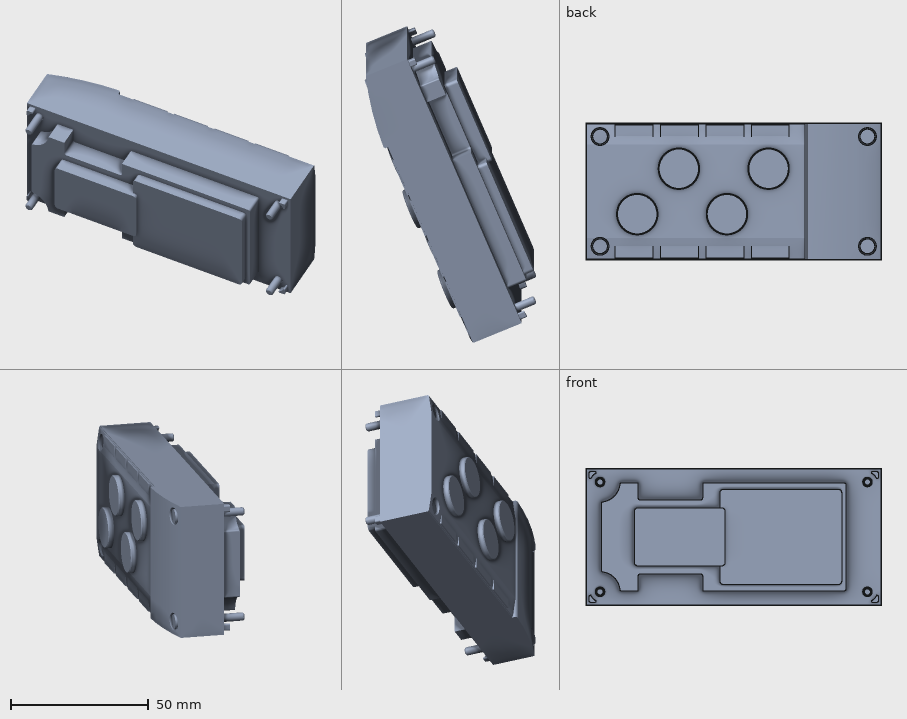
import cadquery as cq

LENGTH = 107.3
HEIGHT = 49.7
RIM_Y = 18.9
RAMP_START_Y = 16.3
RAMP_MIDDLE_X = -42.9
RAMP_MIDDLE_Y = 18.9
RAMP_PEAK_X = -26.6
RAMP_PEAK_Y = 20.7
PANEL_START_X = -26.0

PANEL_INSET = 0.3
PANEL_EDGE_Y = 19.2
PANEL_TOP_Y = 20.3
PANEL_FLAT_HALF_HEIGHT = 17.0

PORT_DIAMETER = 15.0
PORT_TOP_Y = 22.4
PORT_CHAMFER = 0.3
PORT_ROW_Z = 8.3
PORT_CENTERS = [(-12.7, 1), (2.5, -1), (20.0, 1), (35.1, -1)]

PAD_WIDTH = 13.7
PAD_DEPTH = 6.4
PAD_TOP_Y = 19.9
PAD_FIRST_X = -13.3
PAD_PITCH = 16.5
PAD_COUNT = 4
PAD_INSET = 0.6

BASE_DEPTH = 7.3
BASE_LEFT = -48.1
BASE_RIGHT = 40.9
BASE_HALF_HEIGHT = 19.6
BASE_CORNER_RADIUS = 0.9
NOTCH_LEFT = -34.8
NOTCH_RIGHT = -11.3
NOTCH_HALF_GAP = 13.4
SCREW_CLEARANCE_RADIUS = 7.3
CLEARANCE_EDGE_RADIUS = 0.5

LARGE_COVER_DEPTH = 10.8
LARGE_COVER_LEFT = -5.0
LARGE_COVER_RIGHT = 39.3
LARGE_COVER_HEIGHT = 34.7
LARGE_COVER_RADIUS = 1.3
SMALL_COVER_DEPTH = 12.2
SMALL_COVER_LEFT = -36.2
SMALL_COVER_RIGHT = -3.1
SMALL_COVER_HEIGHT = 21.0
SMALL_COVER_RADIUS = 1.3

SCREW_X = 48.6
SCREW_Z = 20.0
SHANK_DIAMETER = 3.0
SHANK_HOLE_DIAMETER = 3.4
TIP_DIAMETER = 2.3
TIP_LENGTH = 0.4
HEAD_DIAMETER = 5.4
HEAD_HEIGHT = 3.4
SHANK_LENGTH = 23.0
COUNTERBORE_DIAMETER = 6.4
NOSE_SCREW_TIP_Y = -8.7
END_SCREW_TIP_Y = -7.4

LUG_HEIGHT = 2.5
LUG_SIZE = 2.6
LUG_CORNER_RADIUS = 0.5
LUG_EDGE_GAP = 1.1
LUG_RELIEF_RADIUS = 3.5


def cylinder_y(x, z, y_start, y_end, diameter):
    """Cylinder along Y between two Y levels."""
    axis_start = cq.Vector(x, y_start, z)
    return cq.Workplane(cq.Solid.makeCylinder(diameter / 2, y_end - y_start, axis_start, cq.Vector(0, 1, 0)))


def block(x_min, x_max, y_min, y_max, z_min, z_max):
    """Axis-aligned block between two corners."""
    size = (x_max - x_min, y_max - y_min, z_max - z_min)
    return cq.Workplane().box(*size, centered=False).translate((x_min, y_min, z_min))


def make_shell():
    """Block with the curved nose rising to a peak in front of the panel."""
    half_length = LENGTH / 2
    return (
        cq.Workplane("XY")
        .moveTo(-half_length, 0)
        .lineTo(-half_length, RAMP_START_Y)
        .threePointArc((RAMP_MIDDLE_X, RAMP_MIDDLE_Y), (RAMP_PEAK_X, RAMP_PEAK_Y))
        .lineTo(PANEL_START_X, PANEL_TOP_Y)
        .lineTo(PANEL_START_X, RIM_Y)
        .lineTo(half_length, RIM_Y)
        .lineTo(half_length, 0)
        .close()
        .extrude(HEIGHT / 2, both=True)
    )


def make_panel():
    """Panel with a flat middle and sloping long sides, seated on the rim."""
    half_height = HEIGHT / 2 - PANEL_INSET
    return (
        cq.Workplane("YZ")
        .moveTo(RIM_Y, -half_height)
        .lineTo(PANEL_EDGE_Y, -half_height)
        .lineTo(PANEL_TOP_Y, -PANEL_FLAT_HALF_HEIGHT)
        .lineTo(PANEL_TOP_Y, PANEL_FLAT_HALF_HEIGHT)
        .lineTo(PANEL_EDGE_Y, half_height)
        .lineTo(RIM_Y, half_height)
        .close()
        .extrude(LENGTH / 2 - PANEL_START_X)
        .translate((PANEL_START_X, 0, 0))
    )


def make_port(x, z):
    """Round port collar with a chamfered rim."""
    return cylinder_y(x, z, RIM_Y, PORT_TOP_Y, PORT_DIAMETER).faces(">Y").chamfer(PORT_CHAMFER)


def make_pad(x, side):
    """Flat label pad next to the upper (side = 1) or lower (side = -1) edge."""
    outer_z = HEIGHT / 2 - PAD_INSET
    inner_z = outer_z - PAD_DEPTH
    z_min, z_max = sorted((side * inner_z, side * outer_z))
    return block(x - PAD_WIDTH / 2, x + PAD_WIDTH / 2, RIM_Y, PAD_TOP_Y, z_min, z_max)


def make_base():
    """Plug base with side notches and corners cut clear of the nose screws."""
    base = block(BASE_LEFT, BASE_RIGHT, -BASE_DEPTH, 0, -BASE_HALF_HEIGHT, BASE_HALF_HEIGHT)
    base = base.edges("|Y and >X").fillet(BASE_CORNER_RADIUS)
    notch_depth = BASE_HALF_HEIGHT - NOTCH_HALF_GAP
    for side in (-1, 1):
        z_min, z_max = sorted((side * NOTCH_HALF_GAP, side * (NOTCH_HALF_GAP + notch_depth)))
        notch = block(NOTCH_LEFT, NOTCH_RIGHT, -BASE_DEPTH, 0, z_min, z_max)
        inner_edges = "|Y and <Z" if side > 0 else "|Y and >Z"
        base = base.cut(notch.edges(inner_edges).fillet(BASE_CORNER_RADIUS))
        clearance = cylinder_y(-SCREW_X, side * SCREW_Z, -BASE_DEPTH, 0, 2 * SCREW_CLEARANCE_RADIUS)
        base = base.cut(clearance)
    nose_corners = cq.selectors.BoxSelector(
        (-SCREW_X, -BASE_DEPTH, -BASE_HALF_HEIGHT - 1.1),
        (-SCREW_X + SCREW_CLEARANCE_RADIUS + 1.1, 0, BASE_HALF_HEIGHT + 1.1),
    )
    return base.edges("|Y").edges(nose_corners).fillet(CLEARANCE_EDGE_RADIUS)


def make_cover(x_min, x_max, height, depth, corner_radius):
    """Rectangular cover with rounded corners, raised from the mounting face."""
    return block(x_min, x_max, -depth, 0, -height / 2, height / 2).edges("|Y").fillet(corner_radius)


def make_lug(x_side, z_side):
    """Corner lug hollowed around the neighbouring screw."""
    center_x = x_side * (LENGTH / 2 - LUG_EDGE_GAP - LUG_SIZE / 2)
    center_z = z_side * (HEIGHT / 2 - LUG_EDGE_GAP - LUG_SIZE / 2)
    lug = cq.Workplane().box(LUG_SIZE, LUG_HEIGHT, LUG_SIZE).edges("|Y").fillet(LUG_CORNER_RADIUS)
    lug = lug.translate((center_x, -LUG_HEIGHT / 2, center_z))
    relief = cylinder_y(x_side * SCREW_X, z_side * SCREW_Z, -LUG_HEIGHT, 0, 2 * LUG_RELIEF_RADIUS)
    return lug.cut(relief)


def screw_tip_y(x_side):
    """The screws under the low nose sit deeper than those at the other end."""
    return NOSE_SCREW_TIP_Y if x_side < 0 else END_SCREW_TIP_Y


def make_screw_hole(x_side, z_side):
    """Shank hole and counterbore, as the volume to remove."""
    x = x_side * SCREW_X
    z = z_side * SCREW_Z
    seat_y = screw_tip_y(x_side) + SHANK_LENGTH
    shank_hole = cylinder_y(x, z, 0, seat_y, SHANK_HOLE_DIAMETER)
    return shank_hole.union(cylinder_y(x, z, seat_y, PORT_TOP_Y, COUNTERBORE_DIAMETER))


def make_housing():
    """Housing with panel, ports, plug base, covers, lugs and screw holes."""
    housing = make_shell().union(make_panel())
    for x, side in PORT_CENTERS:
        housing = housing.union(make_port(x, side * PORT_ROW_Z))
    for index in range(PAD_COUNT):
        for side in (-1, 1):
            housing = housing.union(make_pad(PAD_FIRST_X + index * PAD_PITCH, side))
    housing = housing.union(make_base())
    housing = housing.union(
        make_cover(LARGE_COVER_LEFT, LARGE_COVER_RIGHT, LARGE_COVER_HEIGHT, LARGE_COVER_DEPTH, LARGE_COVER_RADIUS)
    )
    housing = housing.union(
        make_cover(SMALL_COVER_LEFT, SMALL_COVER_RIGHT, SMALL_COVER_HEIGHT, SMALL_COVER_DEPTH, SMALL_COVER_RADIUS)
    )
    for x_side, z_side in CORNERS:
        housing = housing.union(make_lug(x_side, z_side))
        housing = housing.cut(make_screw_hole(x_side, z_side))
    return housing


def make_screw(x_side, z_side):
    """Cylinder-head screw with a tapered tip, turned about its axis."""
    tip_y = screw_tip_y(x_side)
    seat_y = tip_y + SHANK_LENGTH
    profile = (
        cq.Workplane("XY")
        .moveTo(0, tip_y)
        .lineTo(TIP_DIAMETER / 2, tip_y)
        .lineTo(SHANK_DIAMETER / 2, tip_y + TIP_LENGTH)
        .lineTo(SHANK_DIAMETER / 2, seat_y)
        .lineTo(HEAD_DIAMETER / 2, seat_y)
        .lineTo(HEAD_DIAMETER / 2, seat_y + HEAD_HEIGHT)
        .lineTo(0, seat_y + HEAD_HEIGHT)
        .close()
    )
    return profile.revolve(360, (0, 0), (0, 1)).translate((x_side * SCREW_X, 0, z_side * SCREW_Z))


CORNERS = [(x_side, z_side) for x_side in (-1, 1) for z_side in (-1, 1)]

housing = make_housing()
screws = [make_screw(x_side, z_side) for x_side, z_side in CORNERS]

result = cq.Compound.makeCompound([housing.val(), *[screw.val() for screw in screws]])